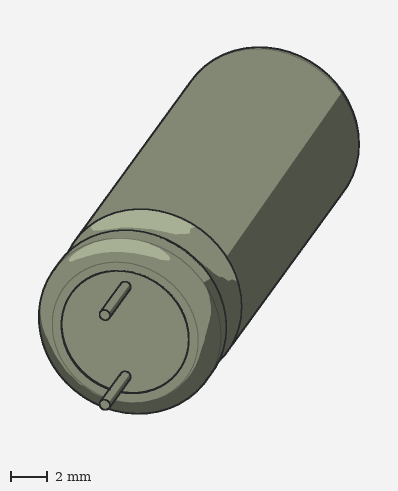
import cadquery as cq


total_length = 33.2
can_diameter = 10.25
lead_length = 4.0
can_length = total_length - lead_length
can_radius = can_diameter / 2

rim_radius = 1.0

groove_start = 2.12
groove_width = 3.02
groove_depth = 0.53

recess_diameter = 7.2
recess_depth = 0.1

lead_diameter = 0.6
lead_spacing = 5.3


def make_can():
    """Plain cylinder with rounded rims, lead-end face at Y = 0."""
    can = cq.Workplane("XZ").circle(can_radius).extrude(-can_length)
    return can.edges().fillet(rim_radius)


def make_groove_cutter():
    """Ring with a circular-arc bottom, revolved about the can's axis."""
    groove_middle = groove_start + groove_width / 2
    groove_end = groove_start + groove_width
    return (
        cq.Workplane("XY")
        .moveTo(can_radius, groove_start)
        .threePointArc((can_radius - groove_depth, groove_middle), (can_radius, groove_end))
        .lineTo(can_diameter, groove_end)
        .lineTo(can_diameter, groove_start)
        .close()
        .revolve(360, (0, 0, 0), (0, 1, 0))
    )


def make_recess_cutter():
    """Disc that sinks the lead-end face."""
    return cq.Workplane("XZ").circle(recess_diameter / 2).extrude(-recess_depth)


def make_leads():
    """Two round leads, one above the other, rising from the recess floor."""
    return (
        cq.Workplane("XZ", origin=(0, recess_depth, 0))
        .pushPoints([(0, -lead_spacing / 2), (0, lead_spacing / 2)])
        .circle(lead_diameter / 2)
        .extrude(recess_depth + lead_length)
    )


can = make_can().cut(make_groove_cutter()).cut(make_recess_cutter())
result = can.union(make_leads())